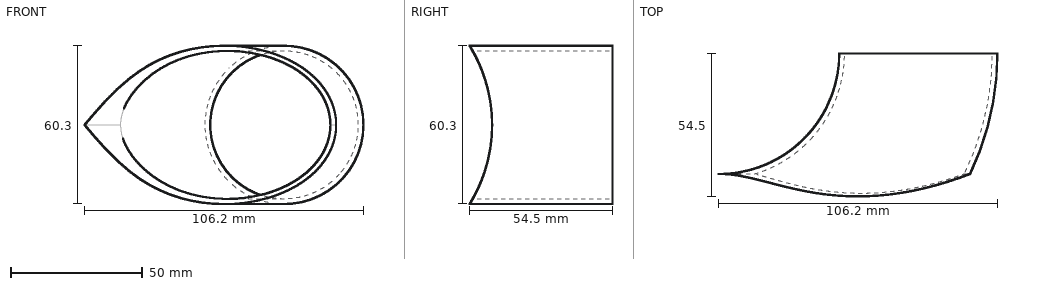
import cadquery as cq

pipe_diameter = 60.3
wall = 2.0
overall_length = 106.2
main_pipe_diameter = 114.3

pipe_radius = pipe_diameter / 2
bend_radius = overall_length - pipe_radius
inside_radius = bend_radius - pipe_radius
main_pipe_radius = main_pipe_diameter / 2
bend_angle = 90


def elbow_tube():
    """Tube bent about the Z axis, from its flat end on the XZ plane round to -Y."""
    return (
        cq.Workplane("XZ")
        .center(bend_radius, 0)
        .circle(pipe_radius)
        .circle(pipe_radius - wall)
        .revolve(bend_angle, (-bend_radius, 0), (-bend_radius, -1))
    )


def main_pipe():
    """Solid rod along X whose crest just touches the inside of the bend."""
    crest_y = -inside_radius
    end_margin = 10.6
    return (
        cq.Workplane("YZ", origin=(-end_margin, 0, 0))
        .center(crest_y - main_pipe_radius, 0)
        .circle(main_pipe_radius)
        .extrude(overall_length + 2 * end_margin)
    )


result = elbow_tube().cut(main_pipe())